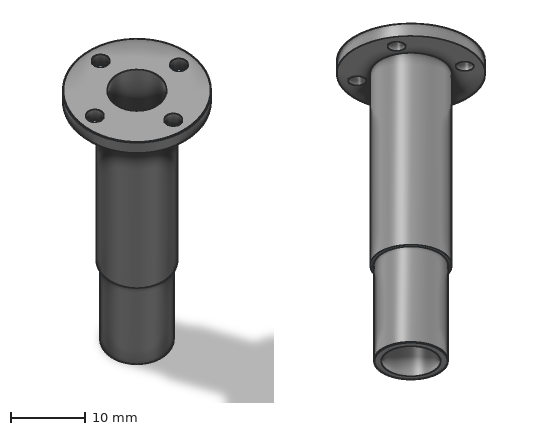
import cadquery as cq

total_length = 47.0
flange_thickness = 2.0
spigot_length = 15.0
body_length = total_length - flange_thickness - spigot_length

flange_diameter = 20.0
body_diameter = 11.0
spigot_diameter = 10.0
bore_diameter = 8.0

bolt_hole_count = 4
bolt_hole_diameter = 2.45
bolt_circle_diameter = 15.0

edge_chamfer = 0.1


def make_stepped_shaft():
    """Spigot, body and flange stacked upward from Z = 0."""
    spigot = cq.Workplane("XY").circle(spigot_diameter / 2).extrude(spigot_length)
    spigot = spigot.faces("<Z").edges().chamfer(edge_chamfer)
    body = spigot.faces(">Z").workplane().circle(body_diameter / 2).extrude(body_length)
    flange = body.faces(">Z").workplane().circle(flange_diameter / 2).extrude(flange_thickness)
    return flange.faces(">Z").edges().chamfer(edge_chamfer)


def make_bore():
    """Straight bore through the full length."""
    return cq.Workplane("XY").circle(bore_diameter / 2).extrude(total_length)


def make_bolt_holes():
    """Holes through the flange, on the X and Y axes."""
    return (
        cq.Workplane("XY", origin=(0, 0, total_length - flange_thickness))
        .polarArray(bolt_circle_diameter / 2, 0, 360, bolt_hole_count)
        .circle(bolt_hole_diameter / 2)
        .extrude(flange_thickness)
    )


result = make_stepped_shaft().cut(make_bore()).cut(make_bolt_holes())